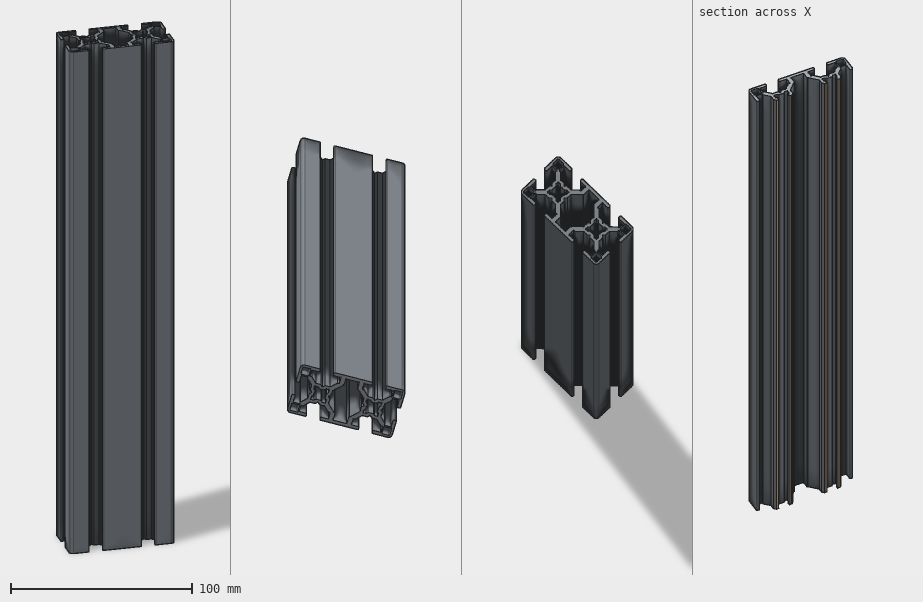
import cadquery as cq
import math

cell = 30.0
length = 300.0
half_cell = cell / 2
corner_radius = 2.0

slot_half_width = 4.0
lip = 1.95
lip_radius = 0.5
cavity_half_width = 8.5
cavity_floor = 9.3
cavity_top = half_cell - lip

web = 2.7
web_shift = web / 2 * math.sqrt(2)

core_half = 6.0
groove_half_width = 1.2
groove_depth = 1.2

bore_half = 4.2
rib_base_half_width = 2.5
rib_tip_half_width = 1.5
rib_tip = 3.3

pocket_outer_wall = 1.35
pocket_inner_wall = 0.75
pocket_radius = 0.5

shelf = 2.7
shelf_end = 8.7
chamber_half_width = half_cell - lip
chamber_half_height = half_cell - cavity_half_width - shelf


def prism(points):
    return cq.Workplane("XY").polyline(points).close().extrude(length)


def left_right(points):
    """Complete a symmetric outline from its right half."""
    return points + [(-x, y) for x, y in reversed(points) if x > 0]


def turned(shape, angle):
    return shape.rotate((0, 0, 0), (0, 0, 1), angle)


def core_and_web(web_end):
    """Right half of the core and web outline facing +Y, with the web ending at y = web_end."""
    return [
        (0, core_half - groove_depth),
        (groove_half_width, core_half),
        (core_half - web_shift, core_half),
        (web_end - web_shift, web_end),
    ]


def slot():
    """T-slot opening towards +Y, about a cell centre."""
    beyond_face = half_cell + lip
    return prism(left_right(core_and_web(cavity_floor) + [
        (cavity_half_width, cavity_floor),
        (cavity_half_width, cavity_top),
        (slot_half_width, cavity_top),
        (slot_half_width, beyond_face),
    ]))


def bore():
    quarter = [
        (rib_tip, rib_tip_half_width),
        (bore_half, rib_base_half_width),
        (bore_half, bore_half),
        (rib_base_half_width, bore_half),
        (rib_tip_half_width, rib_tip),
    ]
    half = quarter + [(-y, x) for x, y in quarter]
    return prism(half + [(-x, -y) for x, y in half])


def corner_pocket(side):
    """Square hollow at the +Y corner of a cell, on the +X (1) or -X (-1) side."""
    near = cavity_half_width + pocket_inner_wall
    far = half_cell - pocket_outer_wall
    size = far - near
    centre = (near + far) / 2
    block = cq.Workplane("XY").rect(size, size).extrude(length)
    return block.edges("|Z").fillet(pocket_radius).translate((side * centre, centre, 0))


def half_chamber():
    """The +Y half of the chamber, about the centre of the extrusion."""
    core_side = [(x, half_cell - y) for x, y in core_and_web(shelf_end + web_shift)]
    return prism(left_right(core_side + [
        (shelf_end, chamber_half_height),
        (chamber_half_width, chamber_half_height),
        (chamber_half_width, 0),
    ]))


def is_lip_corner(edge):
    """True for the lengthwise edges where a slot lip ends at the slot mouth."""
    point = edge.Center()
    across, outward = sorted((abs(point.x), abs(abs(point.y) - half_cell)))
    tolerance = 0.03
    return abs(across - slot_half_width) < tolerance and outward > cavity_top - tolerance


result = cq.Workplane("XY").rect(cell, 2 * cell).extrude(length)
result = result.edges("|Z").fillet(corner_radius)

for cell_angle in (0, 180):
    cuts = [turned(slot(), slot_angle) for slot_angle in (0, 90, -90)]
    cuts += [corner_pocket(side) for side in (-1, 1)]
    cuts.append(bore())
    for cut in cuts:
        result = result.cut(turned(cut.translate((0, half_cell, 0)), cell_angle))
    result = result.cut(turned(half_chamber(), cell_angle))

result = result.edges("|Z").filter(is_lip_corner).fillet(lip_radius)